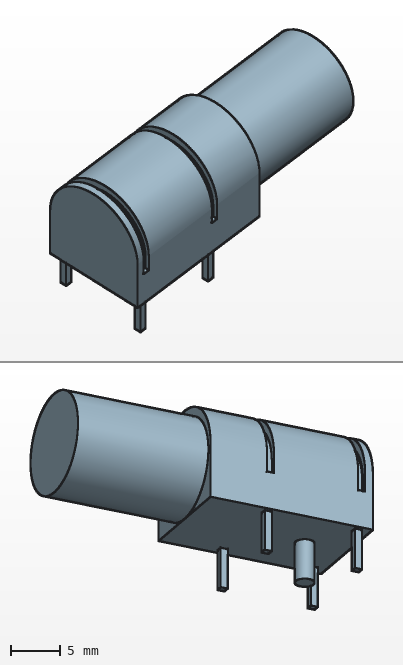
import cadquery as cq

total_length = 33.0
housing_width = 12.0
housing_length = 18.3
housing_radius = housing_width / 2
barrel_diameter = 11.0
barrel_radius = barrel_diameter / 2
leg_length = 4.4

wire = 0.8
leg_pitch = 10.15
staple_radius = (leg_pitch + wire) / 2
staple_axis_z = 5.55
front_staple_y = 1.4
staple_centers = [front_staple_y, front_staple_y + leg_pitch]

groove_width = wire
groove_bottom = 4.1
front_groove_y = 1.3
groove_centers = [front_groove_y, staple_centers[1]]

peg_diameter = 2.0
peg_y = 4.8


def arch(radius, center_z, bottom_z, length, mid_y):
    """Solid with a half-round top and straight sides, centred on mid_y."""
    return (
        cq.Workplane("XZ", origin=(0, mid_y + length / 2, 0))
        .moveTo(-radius, bottom_z)
        .lineTo(-radius, center_z)
        .threePointArc((0, center_z + radius), (radius, center_z))
        .lineTo(radius, bottom_z)
        .close()
        .extrude(length)
    )


def make_staple(mid_y):
    outer = arch(staple_radius, staple_axis_z, -leg_length, wire, mid_y)
    opening = arch(staple_radius - wire, staple_axis_z, -leg_length, wire, mid_y)
    return outer.cut(opening)


def make_groove(mid_y):
    """Ring of material removed from the housing, flush with the outside of the staple arch."""
    cutter_size = 2 * housing_width
    block = (
        cq.Workplane("XY", origin=(0, mid_y, groove_bottom))
        .box(cutter_size, groove_width, cutter_size, centered=(True, True, False))
    )
    core = arch(staple_radius, staple_axis_z, 0, groove_width, mid_y)
    return block.cut(core)


def make_housing(staples):
    body = arch(housing_radius, housing_radius, 0, housing_length, housing_length / 2)
    for mid_y in groove_centers:
        body = body.cut(make_groove(mid_y))
    for staple in staples:
        body = body.cut(staple)
    return body


def make_barrel():
    return (
        cq.Workplane("XZ", origin=(0, total_length, barrel_radius))
        .circle(barrel_radius)
        .extrude(total_length - housing_length)
    )


def make_peg():
    return (
        cq.Workplane("XY", origin=(0, peg_y, -leg_length))
        .circle(peg_diameter / 2)
        .extrude(leg_length)
    )


staples = [make_staple(mid_y) for mid_y in staple_centers]
housing = make_housing(staples)
barrel = make_barrel()
peg = make_peg()

result = cq.Compound.makeCompound(
    [housing.val(), barrel.val(), peg.val(), *[staple.val() for staple in staples]]
)